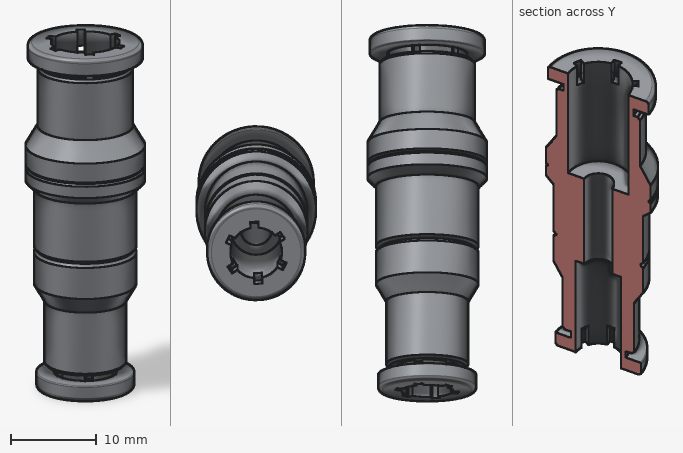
import cadquery as cq

total_height = 42.4
collar_height = 2.0
gap_height = 0.9
collar_edge_round = 0.13
body_edge_chamfer = 0.35

flange_diameter = 14.0
middle_diameter = 12.0
upper_diameter = 11.2
lower_diameter = 9.6

upper_cone_top = 32.2
upper_cone_bottom = 29.75
upper_groove_level = 27.18
upper_groove_depth = 0.25
flange_bottom = 25.52
lower_groove_level = 17.0
lower_groove_depth = 0.4
lower_cone_top = 12.8
lower_cone_bottom = 10.73

upper_collar_diameter = 13.5
upper_collar_round = 0.45
upper_stem_diameter = 9.4
upper_bore_diameter = 8.0
upper_bore_depth = 15.25

lower_collar_diameter = 11.5
lower_collar_round = 0.5
lower_stem_diameter = 7.38
lower_bore_diameter = 6.0
lower_bore_depth = 14.0

passage_diameter = 3.7
slot_count = 6
slot_width = 0.95
first_slot_angle = 30.0

body_bottom = collar_height + gap_height
body_top = total_height - body_bottom
slot_depth = body_bottom


def cylinder(diameter, bottom, height):
    """Vertical cylinder standing on the given level."""
    return cq.Workplane("XY").workplane(offset=bottom).circle(diameter / 2).extrude(height)


def make_body():
    """Stepped body, with two V-grooves, turned about Z."""
    flange_radius = flange_diameter / 2
    middle_radius = middle_diameter / 2
    upper_radius = upper_diameter / 2
    lower_radius = lower_diameter / 2
    flange_chamfer = flange_radius - middle_radius
    profile = [
        (0, body_bottom),
        (lower_radius - body_edge_chamfer, body_bottom),
        (lower_radius, body_bottom + body_edge_chamfer),
        (lower_radius, lower_cone_bottom),
        (middle_radius, lower_cone_top),
        (middle_radius, lower_groove_level - lower_groove_depth),
        (middle_radius - lower_groove_depth, lower_groove_level),
        (middle_radius, lower_groove_level + lower_groove_depth),
        (middle_radius, flange_bottom - flange_chamfer),
        (flange_radius, flange_bottom),
        (flange_radius, upper_groove_level - upper_groove_depth),
        (flange_radius - upper_groove_depth, upper_groove_level),
        (flange_radius, upper_groove_level + upper_groove_depth),
        (flange_radius, upper_cone_bottom),
        (upper_radius, upper_cone_top),
        (upper_radius, body_top - body_edge_chamfer),
        (upper_radius - body_edge_chamfer, body_top),
        (0, body_top),
    ]
    return cq.Workplane("XZ").polyline(profile).close().revolve(360, (0, 0, 0), (0, 1, 0))


def make_slots(stem_diameter, bottom):
    """Radial slots that reach out to the stem's outer surface."""
    slots = cq.Workplane("XY")
    for index in range(slot_count):
        angle = first_slot_angle + index * 360 / slot_count
        slot = (
            cq.Workplane("XY")
            .workplane(offset=bottom)
            .center(stem_diameter / 4, 0)
            .rect(stem_diameter / 2, slot_width)
            .extrude(slot_depth)
            .rotate((0, 0, 0), (0, 0, 1), angle)
        )
        slots = slots.add(slot)
    return slots.combine()


upper_collar = (
    cylinder(upper_collar_diameter, total_height - collar_height, collar_height)
    .faces(">Z").edges().fillet(upper_collar_round)
    .faces("<Z").edges().fillet(collar_edge_round)
)
lower_collar = (
    cylinder(lower_collar_diameter, 0, collar_height)
    .faces("<Z").edges().fillet(lower_collar_round)
    .faces(">Z").edges().fillet(collar_edge_round)
)
upper_stem = cylinder(upper_stem_diameter, body_top, body_bottom)
lower_stem = cylinder(lower_stem_diameter, 0, body_bottom)

result = make_body().union(upper_stem).union(upper_collar).union(lower_stem).union(lower_collar)

result = result.cut(cylinder(upper_bore_diameter, total_height - upper_bore_depth, upper_bore_depth))
result = result.cut(cylinder(lower_bore_diameter, 0, lower_bore_depth))
result = result.cut(cylinder(passage_diameter, 0, total_height))

result = result.cut(make_slots(upper_stem_diameter, body_top))
result = result.cut(make_slots(lower_stem_diameter, 0))